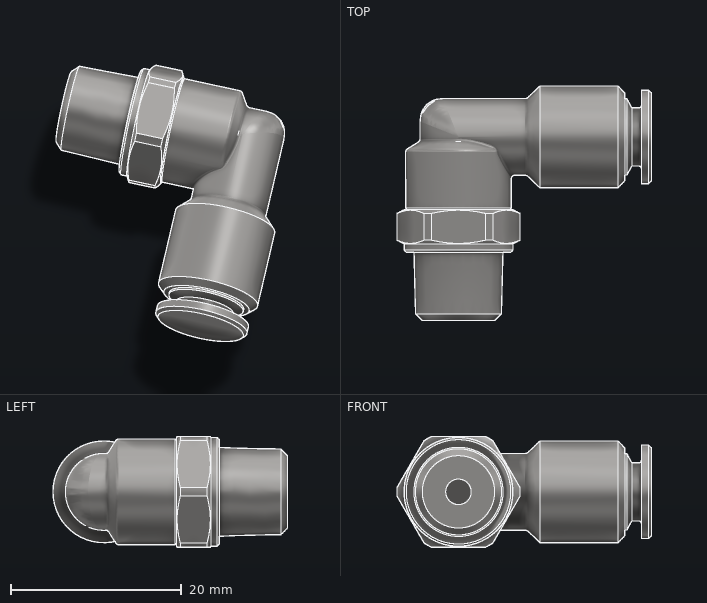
import cadquery as cq
import math

pipe_radius = 4.5
corner_ratio = 0.4
join_fillet = 0.35

body_radius = 6.2
body_cone_start = 0.45
body_cone_end = 1.52
body_edge_fillet = 0.45
body_end_chamfer = 0.18
hex_start = 8.5
hex_end = 12.55
hex_flats = 13.0
hex_corner_radius = 7.23
hex_chamfer_radius = 6.35
hex_chamfer_depth = 0.45
collar_radius = 6.4
collar_end = 13.53
collar_chamfer = 0.27
thread_root_radius = 5.23
thread_tip_radius = 5.05
stem_end = 21.55
tip_chamfer = 0.8
bore_radius = 1.5

socket_radius = 5.97
socket_cone_start = 8.0
socket_cone_end = 9.53
neck_fillet = 0.45
socket_chamfer_start = 18.7
socket_end = 19.5
socket_end_radius = 5.15
nose_radius = 4.48
nose_chamfer_start = 19.75
nose_end = 20.3
sleeve_radius = 3.44
flange_start = 21.42
flange_fillet = 0.25
flange_radius = 5.5
flange_rim_end = 22.25
flange_end_radius = 5.15
arm_end = 22.65


def turned_stem(stations):
    """Solid of revolution about Y from (radius, distance below the arm axis) pairs."""
    profile = [(0, -stations[0][1])]
    profile += [(radius, -distance) for radius, distance in stations]
    profile += [(0, -stations[-1][1])]
    return cq.Workplane("XY").polyline(profile).close().revolve(360, (0, 0), (0, 1))


def turned_arm(stations):
    """Solid of revolution about X from (distance, radius) pairs."""
    profile = [(stations[0][0], 0)] + stations + [(stations[-1][0], 0)]
    return cq.Workplane("XY").polyline(profile).close().revolve(360, (0, 0), (1, 0))


def prism(points):
    """Upright prism tall enough to span the pipes."""
    return cq.Workplane("XY").polyline(points).close().extrude(2 * pipe_radius, both=True)


def elbow_corner():
    """Wedge of an ellipsoid tangent to both pipes, with its long axis on the outer diagonal."""
    long_scale = math.sqrt(1 + corner_ratio)
    short_scale = math.sqrt(1 - corner_ratio)
    stretch = cq.Matrix([[long_scale, 0, 0, 0], [0, short_scale, 0, 0], [0, 0, 1, 0]])
    half_slope = (1 - corner_ratio) / (1 + corner_ratio)
    half_angle = math.degrees(math.atan(half_slope * long_scale / short_scale))
    half_disc = cq.Workplane("XZ").moveTo(0, -pipe_radius).threePointArc((pipe_radius, 0), (0, pipe_radius))
    segment = half_disc.close().revolve(2 * half_angle, (0, 0), (0, 1))
    segment = segment.rotate((0, 0, 0), (0, 0, 1), -half_angle)
    corner = segment.val().transformGeometry(stretch).rotate((0, 0, 0), (0, 0, 1), 135)
    return cq.Workplane(obj=corner)


def elbow():
    """Both pipes, each trimmed where the rounded corner takes over."""
    reach = 2 * pipe_radius
    near = corner_ratio * reach
    arm = turned_arm([(-pipe_radius, pipe_radius), (socket_cone_start, pipe_radius)])
    arm = arm.intersect(prism([(0, 0), (-near, reach), (reach, reach), (reach, -reach)]))
    leg = turned_stem([(pipe_radius, -pipe_radius), (pipe_radius, hex_start)])
    leg = leg.intersect(prism([(0, 0), (-reach, near), (-reach, -reach), (reach, -reach)]))
    return arm.union(leg).union(elbow_corner())


def body():
    """Swivel sleeve around the leg, with a coned shoulder and a rounded rim."""
    sleeve = turned_stem([
        (pipe_radius, body_cone_start),
        (body_radius, body_cone_end),
        (body_radius, hex_start - body_end_chamfer),
        (body_radius - body_end_chamfer, hex_start),
    ])
    rim = cq.selectors.NearestToPointSelector((0, -body_cone_end, 0))
    return sleeve.edges(rim).fillet(body_edge_fillet)


def hex_nut():
    """Hexagon with its corners turned down and both ends chamfered."""
    nut = (
        cq.Workplane("XZ", origin=(0, -hex_start, 0))
        .polygon(6, hex_flats, circumscribed=True)
        .extrude(hex_end - hex_start)
        .rotate((0, 0, 0), (0, 1, 0), 30)
    )
    return nut.intersect(turned_stem([
        (hex_chamfer_radius, hex_start),
        (hex_corner_radius, hex_start + hex_chamfer_depth),
        (hex_corner_radius, hex_end - hex_chamfer_depth),
        (hex_chamfer_radius, hex_end),
    ]))


def threaded_end():
    """Hexagon, collar and tapered thread below the body."""
    collar_and_thread = turned_stem([
        (collar_radius, hex_end),
        (collar_radius, collar_end - collar_chamfer),
        (collar_radius - collar_chamfer, collar_end),
        (thread_root_radius, collar_end),
        (thread_tip_radius, stem_end - tip_chamfer),
        (thread_tip_radius - tip_chamfer, stem_end),
    ])
    return hex_nut().union(collar_and_thread)


def tube_socket():
    """Socket with coned ends, followed by the flanged release sleeve."""
    socket = turned_arm([
        (socket_cone_start, pipe_radius),
        (socket_cone_end, socket_radius),
        (socket_chamfer_start, socket_radius),
        (socket_end, socket_end_radius),
        (socket_end, nose_radius),
        (nose_chamfer_start, nose_radius),
        (nose_end, sleeve_radius),
        (flange_start, sleeve_radius),
        (flange_start, flange_radius),
        (flange_rim_end, flange_radius),
        (arm_end, flange_end_radius),
    ])
    flange_back = socket.faces(cq.selectors.NearestToPointSelector((flange_start, 0, 0)))
    return flange_back.edges(cq.selectors.RadiusNthSelector(0)).fillet(flange_fillet)


def bore():
    """Passage from the threaded tip up to the arm axis."""
    return turned_stem([(bore_radius, 0), (bore_radius, stem_end)])


def is_body_join(edge):
    """True on the edges where the body meets the leg and the arm."""
    box = edge.BoundingBox()
    on_leg = abs(box.ymin + body_cone_start) < 0.003 and abs(box.ymax + body_cone_start) < 0.003
    on_arm = edge.geomType() == "BSPLINE" and box.xmin > 0
    return on_leg or on_arm


def filleted_elbow():
    """Elbow and body with the concave join between them rounded."""
    joined = elbow().union(body())
    join_edges = [edge for edge in joined.edges().vals() if is_body_join(edge)]
    return joined.newObject(join_edges).fillet(join_fillet)


neck = cq.selectors.NearestToPointSelector((socket_cone_start, 0, 0))
fitting = filleted_elbow().union(tube_socket()).edges(neck).fillet(neck_fillet)
result = fitting.union(threaded_end()).cut(bore())